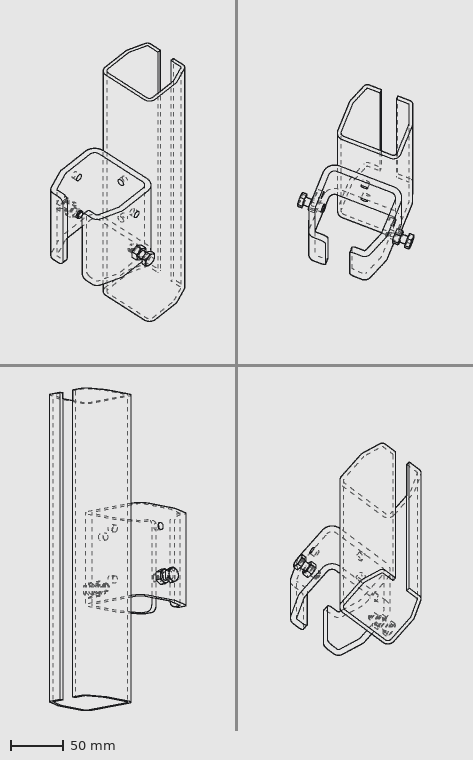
import cadquery as cq
import math

SLANT_ANGLE = math.radians(20.5)

CHANNEL_LENGTH = 300.0
CHANNEL_HALF_WIDTH = 32.5
CHANNEL_DEPTH = 60.0
CHANNEL_THICKNESS = 3.5
CHANNEL_SLANT_DEPTH = 22.0
CHANNEL_HALF_GAP = 8.5
CHANNEL_WEB_BEND = 7.5
CHANNEL_SLANT_BEND = 7.5
CHANNEL_LIP_BEND = 4.5

BRACKET_LENGTH = 90.0
BRACKET_HALF_WIDTH = 40.2
BRACKET_DEPTH = 75.0
BRACKET_THICKNESS = 6.0
BRACKET_SLANT_DEPTH = 27.0
BRACKET_HALF_GAP = 12.3
BRACKET_WEB_BEND = 12.0
BRACKET_SLANT_BEND = 7.5
BRACKET_LIP_BEND = 7.5
LIP_CORNER_RADIUS = 6.0

HOLE_HEIGHT = 25.0
WEB_HOLE_DIAMETER = 7.0
SIDE_HOLE_DIAMETER = 7.0
SIDE_HOLE_Y = -28.0

BOLT_Z = -HOLE_HEIGHT
SHANK_DIAMETER = 8.0
TIP_DIAMETER = 6.5
TIP_PROTRUSION = 2.0
HEX_SIDES = 6
HEX_ACROSS_FLATS = 13.0
HEX_FACE_DIAMETER = 12.5
HEX_CHAMFER_ANGLE = math.radians(30)
HEAD_THICKNESS = 4.8
NUT_THICKNESS = 6.3
BOLT_HALF_SPAN = 115.5 / 2


def folded_prism(half_width, depth, slant_depth, bends, inset, length):
    """Closed prism with the outline of a folded profile, moved inward by inset and with rounded bends."""
    side_x = half_width - inset
    lip_y = depth - inset
    knee_y = depth - slant_depth - inset * math.tan(SLANT_ANGLE / 2)
    lip_x = side_x - (lip_y - knee_y) * math.tan(SLANT_ANGLE)

    right_corners = [(side_x, inset), (side_x, knee_y), (lip_x, lip_y)]
    left_corners = [(-x, y) for x, y in reversed(right_corners)]
    prism = cq.Workplane("XY").polyline(right_corners + left_corners).close().extrude(length / 2, both=True)

    for (x, y), bend in zip(right_corners, bends):
        for side in (-1, 1):
            nearest = cq.selectors.NearestToPointSelector((side * x, y, 0))
            prism = prism.edges("|Z").edges(nearest).fillet(bend - inset)
    return prism


def folded_section(half_width, depth, thickness, slant_depth, half_gap, bends, length):
    """Lipped C section with its web on Y = 0, opening toward +Y, centred on Z = 0.

    bends holds the outer radii at the web, at the start of the slant and at the lip.
    """
    outside = folded_prism(half_width, depth, slant_depth, bends, 0, length)
    inside = folded_prism(half_width, depth, slant_depth, bends, thickness, length)
    mouth = cq.Workplane("XY").box(2 * half_gap, depth, length).translate((0, depth / 2 + thickness, 0))
    return outside.cut(inside).cut(mouth)


def x_plane(x, z):
    """Work plane facing +X, centred on the axis of the side holes at height z."""
    return cq.Workplane("YZ", origin=(x, SIDE_HOLE_Y, z))


def x_cylinder(diameter, x_start, x_end, z):
    return x_plane(x_start, z).circle(diameter / 2).extrude(x_end - x_start)


def make_channel():
    bends = (CHANNEL_WEB_BEND, CHANNEL_SLANT_BEND, CHANNEL_LIP_BEND)
    return folded_section(
        CHANNEL_HALF_WIDTH, CHANNEL_DEPTH, CHANNEL_THICKNESS, CHANNEL_SLANT_DEPTH,
        CHANNEL_HALF_GAP, bends, CHANNEL_LENGTH,
    )


def make_bracket():
    bends = (BRACKET_WEB_BEND, BRACKET_SLANT_BEND, BRACKET_LIP_BEND)
    bracket = folded_section(
        BRACKET_HALF_WIDTH, BRACKET_DEPTH, BRACKET_THICKNESS, BRACKET_SLANT_DEPTH,
        BRACKET_HALF_GAP, bends, BRACKET_LENGTH,
    ).mirror("XZ")

    lip_middle_y = BRACKET_THICKNESS / 2 - BRACKET_DEPTH
    for x in (-BRACKET_HALF_GAP, BRACKET_HALF_GAP):
        for z in (-BRACKET_LENGTH / 2, BRACKET_LENGTH / 2):
            nearest = cq.selectors.NearestToPointSelector((x, lip_middle_y, z))
            bracket = bracket.edges("|Y").edges(nearest).fillet(LIP_CORNER_RADIUS)

    web_holes = (
        cq.Workplane("XZ")
        .pushPoints([(0, -HOLE_HEIGHT), (0, HOLE_HEIGHT)])
        .circle(WEB_HOLE_DIAMETER / 2)
        .extrude(BRACKET_THICKNESS)
    )

    side_holes = x_cylinder(SIDE_HOLE_DIAMETER, -BRACKET_HALF_WIDTH, BRACKET_HALF_WIDTH, HOLE_HEIGHT)
    bolt_holes = x_cylinder(SHANK_DIAMETER, -BRACKET_HALF_WIDTH, BRACKET_HALF_WIDTH, BOLT_Z)
    return bracket.cut(web_holes).cut(side_holes).cut(bolt_holes)


def x_hexagon(x_start, thickness):
    """Hexagon along X with corners pointing up and down; its outer face is chamfered to a circle."""
    half_corner_angle = math.pi / HEX_SIDES
    corner_radius = HEX_ACROSS_FLATS / 2 / math.cos(half_corner_angle)
    corner_angles = [half_corner_angle * (2 * i + 1) for i in range(HEX_SIDES)]
    corners = [(corner_radius * math.cos(a), corner_radius * math.sin(a)) for a in corner_angles]
    hexagon = x_plane(x_start, BOLT_Z).polyline(corners).close().extrude(thickness)

    chamfer_width = corner_radius - HEX_FACE_DIAMETER / 2
    chamfer_depth = chamfer_width * math.tan(HEX_CHAMFER_ANGLE)
    envelope = x_cylinder(2 * corner_radius, x_start, x_start + thickness, BOLT_Z)
    envelope = envelope.faces(">X").chamfer(chamfer_depth, chamfer_width)
    return hexagon.intersect(envelope)


def make_nut():
    """Nut on the +X side wall of the bracket."""
    bore = x_cylinder(SHANK_DIAMETER, BRACKET_HALF_WIDTH, BRACKET_HALF_WIDTH + NUT_THICKNESS, BOLT_Z)
    return x_hexagon(BRACKET_HALF_WIDTH, NUT_THICKNESS).cut(bore)


def make_bolt():
    """Bolt through the +X nut and side wall, with its chamfered tip inside the bracket."""
    tip_x = BRACKET_HALF_WIDTH - BRACKET_THICKNESS - TIP_PROTRUSION
    head_x = BOLT_HALF_SPAN - HEAD_THICKNESS
    tip_chamfer = (SHANK_DIAMETER - TIP_DIAMETER) / 2
    shank = x_cylinder(SHANK_DIAMETER, tip_x, head_x, BOLT_Z).faces("<X").chamfer(tip_chamfer)
    return shank.union(x_hexagon(head_x, HEAD_THICKNESS))


channel = make_channel()
bracket = make_bracket()

fasteners = []
for fastener in (make_nut(), make_bolt()):
    fasteners += [fastener.val(), fastener.mirror("YZ").val()]

result = cq.Compound.makeCompound([channel.val(), bracket.val(), *fasteners])